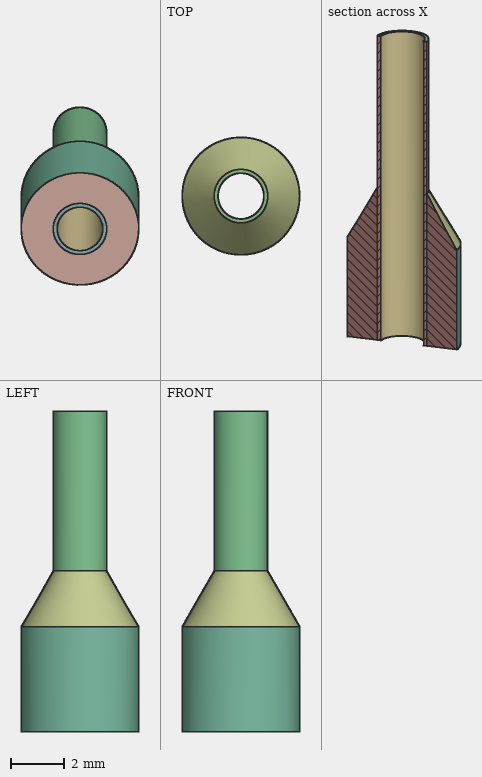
import cadquery as cq

total_length = 12.0
tube_diameter = 2.0
bore_diameter = 1.7
collar_diameter = 4.4
collar_straight_height = 3.94
collar_height = 6.02

tube_radius = tube_diameter / 2
collar_radius = collar_diameter / 2


def make_tube():
    """Thin metal sleeve, open at both ends, running the full length."""
    return (
        cq.Workplane("XY")
        .circle(tube_radius)
        .circle(bore_diameter / 2)
        .extrude(total_length)
    )


def make_collar():
    """Insulating collar around the tube, tapering down to the tube surface."""
    return (
        cq.Workplane("XZ")
        .moveTo(tube_radius, 0)
        .lineTo(collar_radius, 0)
        .lineTo(collar_radius, collar_straight_height)
        .lineTo(tube_radius, collar_height)
        .close()
        .revolve(360, (0, 0, 0), (0, 1, 0))
    )


tube = make_tube()
collar = make_collar()

result = cq.Compound.makeCompound([tube.val(), collar.val()])